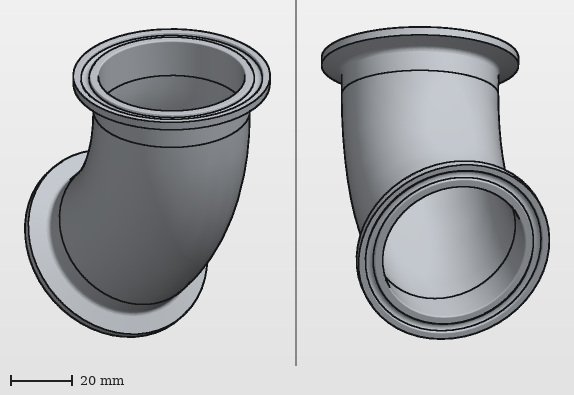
import cadquery as cq
import math

overall_height = 98.6

pipe_outer_radius = 25.4
pipe_inner_radius = 23.8
bend_angle = 45

ferrule_length = 12.7
flange_radius = 31.9
flange_rim_thickness = 2.8
flange_back_angle = 20
neck_fillet = 1.5
bore_edge_fillet = 0.5

groove_centre_radius = 28.1
groove_half_width = 1.6
groove_bowl_half_width = 1.3
groove_wall_depth = 1.0
groove_depth = 1.6
groove_edge_fillet = 0.4

match_tolerance = 0.01

bend_sin = math.sin(math.radians(bend_angle))
bend_cos = math.cos(math.radians(bend_angle))
ferrules_height = ferrule_length * (1 + bend_cos) + flange_radius * bend_sin
bend_radius = (overall_height - ferrules_height) / bend_sin

cone_drop = (flange_radius - pipe_outer_radius) * math.tan(math.radians(flange_back_angle))
neck_depth = flange_rim_thickness + cone_drop


def circle_at(radius, height):
    """Return a test for the circular edges of one radius at one height."""

    def matches(edge):
        return abs(edge.radius() - radius) < match_tolerance and abs(edge.Center().z - height) < match_tolerance

    return matches


def round_circle(body, radius, height, fillet_radius):
    """Round the circular edge that has this radius and height."""
    return body.edges("%CIRCLE").filter(circle_at(radius, height)).fillet(fillet_radius)


def make_ferrule():
    """Ferrule on the Z axis with its sealing face up at Z = 0."""
    ferrule = (
        cq.Workplane("XZ")
        .moveTo(pipe_inner_radius, 0)
        .lineTo(groove_centre_radius - groove_half_width, 0)
        .lineTo(groove_centre_radius - groove_bowl_half_width, -groove_wall_depth)
        .threePointArc(
            (groove_centre_radius, -groove_depth),
            (groove_centre_radius + groove_bowl_half_width, -groove_wall_depth),
        )
        .lineTo(groove_centre_radius + groove_half_width, 0)
        .lineTo(flange_radius, 0)
        .lineTo(flange_radius, -flange_rim_thickness)
        .lineTo(pipe_outer_radius, -neck_depth)
        .lineTo(pipe_outer_radius, -ferrule_length)
        .lineTo(pipe_inner_radius, -ferrule_length)
        .close()
        .revolve(360, (0, 0, 0), (0, 1, 0))
    )

    ferrule = round_circle(ferrule, pipe_outer_radius, -neck_depth, neck_fillet)
    ferrule = round_circle(ferrule, pipe_inner_radius, 0, bore_edge_fillet)
    for side in (-1, 1):
        rim_radius = groove_centre_radius + side * groove_half_width
        ferrule = round_circle(ferrule, rim_radius, 0, groove_edge_fillet)
    return ferrule


def make_elbow():
    """Bent pipe that starts at the neck of the upper ferrule and turns toward -X."""
    return (
        cq.Workplane("XY", origin=(0, 0, -ferrule_length))
        .circle(pipe_outer_radius)
        .circle(pipe_inner_radius)
        .revolve(bend_angle, (-bend_radius, 0, 0), (-bend_radius, 1, 0))
    )


def place_at_lower_end(ferrule):
    """Flip a ferrule across the elbow's upper end, then swing it around the bend."""
    flipped = ferrule.mirror("XY", (0, 0, -ferrule_length))
    return flipped.rotate(
        (-bend_radius, 0, -ferrule_length), (-bend_radius, 1, -ferrule_length), bend_angle
    )


elbow = make_elbow()
ferrules = []
for at_lower_end in (False, True):
    ferrule = make_ferrule()
    if at_lower_end:
        ferrule = place_at_lower_end(ferrule)
    ferrules.append(ferrule.val())

result = cq.Compound.makeCompound([elbow.val(), *ferrules])